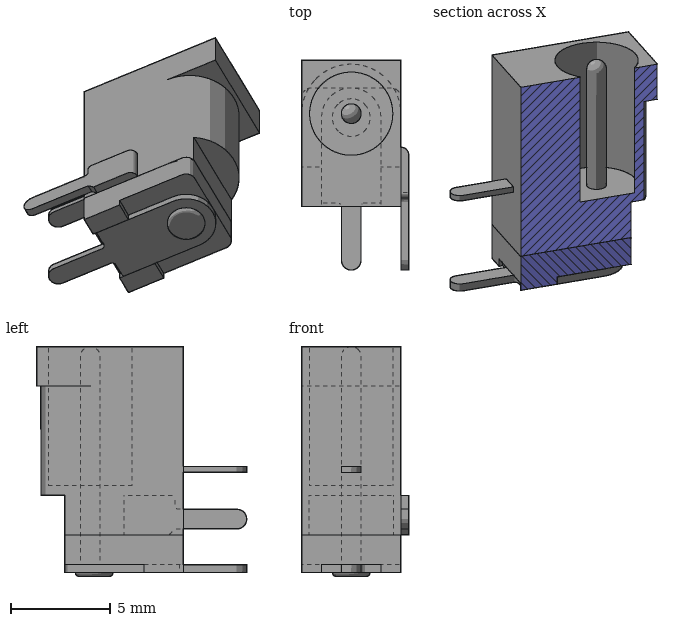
import cadquery as cq


width = 5.0
depth = 7.4
height = 11.4
flange_height = 2.0
barrel_y = 4.7
barrel_radius = width / 2
bore_diameter = 4.2
bore_depth = 7.0
barrel_length = 7.5

base_height = 1.9
base_depth = 6.0
base_corner_radius = 0.5
foot_depth = 2.0

tail_length = 3.2
tail_width = 1.0
plate_thickness = 0.41
front_tail_thickness = 0.3
front_tail_top = 5.36

plate_width = 2.99
plate_front_y = 0.2
neck_fillet = 0.2
pin_diameter = 1.0
pin_top = height
rivet_diameter = 1.9
rivet_height = 0.2

blade_top = 3.9
side_tail_top = 3.2
blade_front_y = 0.43
blade_back_y = 3.0
blade_bend_radius = 0.38
upper_fillet = 0.2
lower_slope_length = 0.3


def block(x_size, y_start, y_end, z_start, z_end):
    """Box centred on X = 0 between the given Y and Z limits."""
    return (
        cq.Workplane("XY")
        .box(x_size, y_end - y_start, z_end - z_start, centered=(True, False, False))
        .translate((0, y_start, z_start))
    )


def cylinder(diameter, y, z_start, z_end):
    """Upright cylinder on the plane X = 0."""
    return (
        cq.Workplane("XY", origin=(0, y, z_start))
        .circle(diameter / 2)
        .extrude(z_end - z_start)
    )


def rounded_tail(y_start, z_start, thickness):
    """Flat horizontal tail with a rounded tip in front of the housing."""
    half_width = tail_width / 2
    shoulder_y = half_width - tail_length
    return (
        cq.Workplane("XY", origin=(0, 0, z_start))
        .moveTo(-half_width, y_start)
        .lineTo(-half_width, shoulder_y)
        .threePointArc((0, -tail_length), (half_width, shoulder_y))
        .lineTo(half_width, y_start)
        .close()
        .extrude(thickness)
    )


def make_housing():
    barrel_bottom = height - barrel_length
    body = block(width, 0, barrel_y, base_height, height)
    flange = block(width, 0, depth, height - flange_height, height)
    barrel = cylinder(2 * barrel_radius, barrel_y, base_height, height)
    back_relief = block(width, base_depth, depth, base_height, barrel_bottom)
    bore = cylinder(bore_diameter, barrel_y, height - bore_depth, height)
    return body.union(barrel).cut(back_relief).union(flange).cut(bore)


def make_base():
    base = block(width, 0, base_depth, 0, base_height)
    base = base.edges("|Z and >Y").fillet(base_corner_radius)
    rear_relief = block(width, foot_depth, base_depth, 0, plate_thickness)
    front_notch = block(plate_width, 0, foot_depth, 0, plate_thickness)
    return base.cut(rear_relief).cut(front_notch)


def make_centre_contact():
    """Pin, round-backed plate, rivet head and tail."""
    plate_radius = plate_width / 2
    plate_centre_y = base_depth - plate_radius
    plate = block(plate_width, plate_front_y, plate_centre_y, 0, plate_thickness)
    plate = plate.union(cylinder(plate_width, plate_centre_y, 0, plate_thickness))
    plate = plate.union(rounded_tail(plate_front_y, 0, plate_thickness))
    neck_corners = cq.selectors.BoxSelector(
        (-tail_width, plate_front_y - 0.12, -0.12),
        (tail_width, plate_front_y + 0.12, plate_thickness + 0.12),
    )
    plate = plate.edges("|Z").edges(neck_corners).fillet(neck_fillet)
    rivet = cylinder(rivet_diameter, plate_centre_y, -rivet_height, plate_thickness)
    rivet = rivet.faces("<Z").edges().fillet(rivet_height)
    tip_radius = pin_diameter / 2
    pin = cylinder(pin_diameter, barrel_y, 0, pin_top - tip_radius)
    tip = cq.Workplane("XY").sphere(tip_radius).translate((0, barrel_y, pin_top - tip_radius))
    return plate.union(rivet).union(pin.union(tip))


def make_side_terminal():
    """Blade on the +X wall, narrowing to a tail with a rounded tip."""
    tip_radius = tail_width / 2
    tail_bottom = side_tail_top - tail_width
    shoulder_y = tip_radius - tail_length
    terminal = (
        cq.Workplane("YZ", origin=(width / 2, 0, 0))
        .moveTo(blade_back_y, base_height)
        .lineTo(blade_back_y, blade_top)
        .lineTo(blade_front_y, blade_top)
        .lineTo(blade_front_y, side_tail_top)
        .lineTo(shoulder_y, side_tail_top)
        .threePointArc((-tail_length, side_tail_top - tip_radius), (shoulder_y, tail_bottom))
        .lineTo(blade_front_y, tail_bottom)
        .lineTo(blade_front_y + lower_slope_length, base_height)
        .close()
        .extrude(plate_thickness)
    )
    upper_step = cq.selectors.BoxSelector(
        (0, blade_front_y - 0.12, side_tail_top - 0.12),
        (width, blade_front_y + 0.12, blade_top + 0.12),
    )
    terminal = terminal.edges("|X").edges(upper_step).fillet(upper_fillet)
    return terminal.edges("|Z and >Y and >X").fillet(blade_bend_radius)


housing = make_housing()
base = make_base()
centre_contact = make_centre_contact()
pin_passage = cylinder(pin_diameter, barrel_y, 0, height)
housing = housing.cut(pin_passage)
base = base.cut(pin_passage)
front_terminal = rounded_tail(0, front_tail_top - front_tail_thickness, front_tail_thickness)
side_terminal = make_side_terminal()

result = cq.Compound.makeCompound(
    [
        housing.val(),
        base.val(),
        centre_contact.val(),
        front_terminal.val(),
        side_terminal.val(),
    ]
)